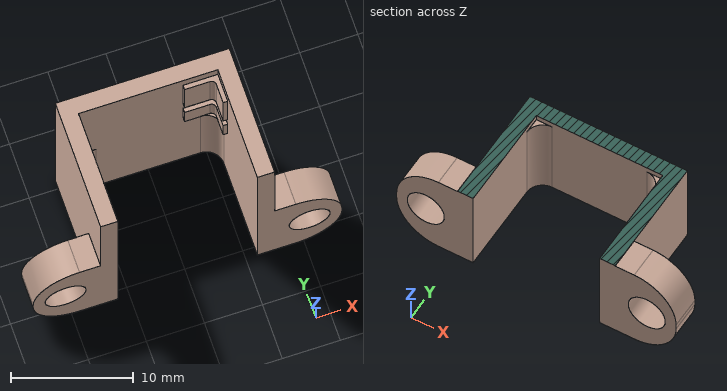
import cadquery as cq

body_width = 15.0
body_depth = 11.5
body_height = 17.0
back_wall = 1.5
cavity_width = 12.0

overall_width = 26.6
ear_height = 8.49
ear_thickness = 3.0
ear_corner_radius = 4
hole_diameter = 3.5
hole_spacing = 21.01

corner_fill_radius = 1.5
corner_fill_height = 8.0

pad_thickness = 0.4
pad_back_length = 3.0
pad_side_length = 2.5
pad_inner_radius = 0.4
tall_pad_height = 4
short_pad_height = 2.0
pad_gap = 1.0

inner_x = cavity_width / 2
inner_y = body_depth - back_wall
tall_pad_base = body_height - pad_gap - tall_pad_height
short_pad_base = tall_pad_base - pad_gap - short_pad_height


def block(x_range, y_range, z_range):
    """Box between the given limits along each axis."""
    (x0, x1), (y0, y1), (z0, z1) = x_range, y_range, z_range
    return cq.Workplane("XY").box(x1 - x0, y1 - y0, z1 - z0, centered=False).translate((x0, y0, z0))


def ear_plate():
    """Full-width plate with rounded ends and two mounting holes."""
    plate = block((-overall_width / 2, overall_width / 2), (0, ear_thickness), (0, ear_height))
    holes = (
        cq.Workplane("XZ", origin=(0, 0, ear_height / 2))
        .pushPoints([(-hole_spacing / 2, 0), (hole_spacing / 2, 0)])
        .circle(hole_diameter / 2)
        .extrude(-ear_thickness)
    )
    return plate.edges("|Y").fillet(ear_corner_radius).cut(holes)


def corner_fill(side):
    """Concave filling of the inner corner on side -1 (left) or +1 (right)."""
    square = block(
        (inner_x - corner_fill_radius, inner_x),
        (inner_y - corner_fill_radius, inner_y),
        (0, corner_fill_height),
    )
    round_cut = (
        cq.Workplane("XY")
        .center(inner_x - corner_fill_radius, inner_y - corner_fill_radius)
        .circle(corner_fill_radius)
        .extrude(corner_fill_height)
    )
    fill = square.cut(round_cut)
    return fill if side > 0 else fill.mirror("YZ")


def corner_pad(base, height):
    """L-shaped pad along the back and right walls with a rounded inner corner."""
    return (
        cq.Workplane("XY", origin=(0, 0, base))
        .moveTo(inner_x, inner_y)
        .lineTo(inner_x - pad_back_length, inner_y)
        .lineTo(inner_x - pad_back_length, inner_y - pad_thickness)
        .lineTo(inner_x - pad_thickness - pad_inner_radius, inner_y - pad_thickness)
        .radiusArc((inner_x - pad_thickness, inner_y - pad_thickness - pad_inner_radius), pad_inner_radius)
        .lineTo(inner_x - pad_thickness, inner_y - pad_side_length)
        .lineTo(inner_x, inner_y - pad_side_length)
        .close()
        .extrude(height)
    )


body = block((-body_width / 2, body_width / 2), (0, body_depth), (0, body_height))
cavity = block((-inner_x, inner_x), (0, inner_y), (0, body_height))

result = ear_plate().union(body).cut(cavity)
for side in (-1, 1):
    result = result.union(corner_fill(side))
result = result.union(corner_pad(tall_pad_base, tall_pad_height))
result = result.union(corner_pad(short_pad_base, short_pad_height))